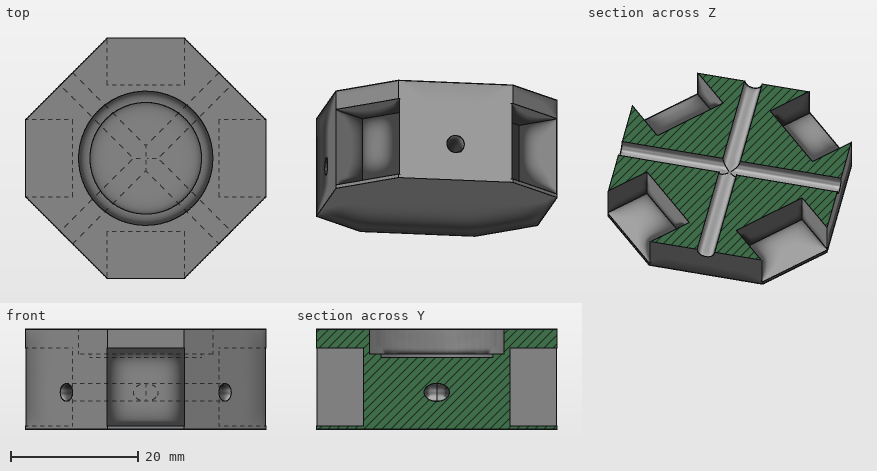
import cadquery as cq
import math

width = 37.87
height = 15.8
side_facet = 12.05

bore_diameter = 21.15
bore_depth = 3.9
step_diameter = 17.57
step_depth = 0.55

pocket_size = 12.25
pocket_depth = 7.4
pocket_floor = 0.55

hole_diameter = 2.75
hole_height = 5.85

corner_cut = (width - side_facet) / 2


def octagonal_body():
    return (
        cq.Workplane("XY")
        .rect(width, width)
        .extrude(height)
        .edges("|Z")
        .chamfer(corner_cut)
    )


def top_recess():
    bore_floor = height - bore_depth
    bore = cq.Workplane("XY", origin=(0, 0, bore_floor)).circle(bore_diameter / 2).extrude(bore_depth)
    step = (
        cq.Workplane("XY", origin=(0, 0, bore_floor - step_depth))
        .circle(step_diameter / 2)
        .extrude(step_depth)
    )
    return bore.union(step)


def side_pocket(angle):
    """Pocket opening outwards in the direction at the given angle from +X."""
    return (
        cq.Workplane("XY")
        .box(pocket_depth, pocket_size, pocket_size, centered=(False, True, False))
        .translate((width / 2 - pocket_depth, 0, pocket_floor))
        .rotate((0, 0, 0), (0, 0, 1), angle)
    )


def cross_hole(angle):
    """Hole through the whole body along the direction at the given angle from +X."""
    length = width * math.sqrt(2)
    return (
        cq.Workplane("YZ", origin=(-length / 2, 0, hole_height))
        .circle(hole_diameter / 2)
        .extrude(length)
        .rotate((0, 0, 0), (0, 0, 1), angle)
    )


result = octagonal_body().cut(top_recess())
for pocket_angle in (0, 90, 180, 270):
    result = result.cut(side_pocket(pocket_angle))
for hole_angle in (45, 135):
    result = result.cut(cross_hole(hole_angle))